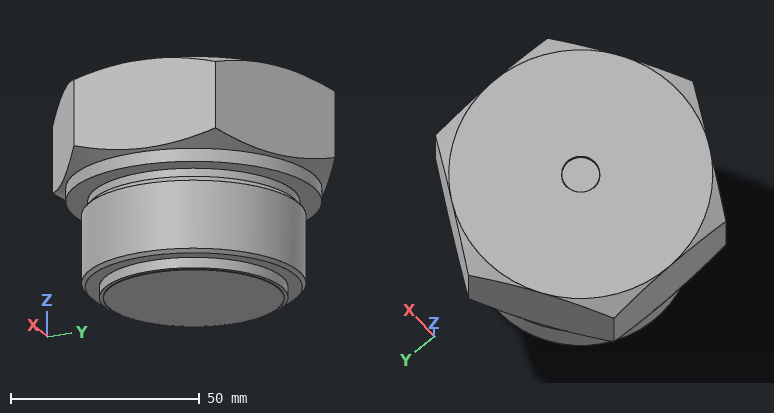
import cadquery as cq
import math

corner_diameter = 80.8
corner_radius = corner_diameter / 2
flat_radius = corner_radius * math.cos(math.radians(30))
cone_slope = math.tan(math.radians(30))

flange_diameter = 68.0
groove_diameter = 56.3
body_diameter = 59.6
tip_diameter = 50.0
tip_end_diameter = 48.0

tip_step_height = 0.25
body_bottom = 3.15
body_top = 24.7
flange_bottom = 27.0
head_bottom = 30.6
total_height = 56.0

body_chamfer = 1.0
top_hole_diameter = 10.1
top_hole_depth = 1.0


def revolve_profile(points):
    """Revolve an outline of (radius, height) points about the Z axis."""
    return cq.Workplane("XZ").polyline(points).close().revolve(360, (0, 0), (0, 1))


def make_head():
    """Hexagonal prism with its corners cut by a cone at each end."""
    prism = (
        cq.Workplane("XY", origin=(0, 0, head_bottom))
        .polygon(6, corner_diameter)
        .extrude(total_height - head_bottom)
        .rotate((0, 0, 0), (0, 0, 1), 90)
    )
    flange_radius = flange_diameter / 2
    outer_radius = corner_radius + 0.8
    lower_rise = (outer_radius - flange_radius) * cone_slope
    upper_drop = (outer_radius - flat_radius) * cone_slope
    envelope = revolve_profile([
        (0, head_bottom),
        (flange_radius, head_bottom),
        (outer_radius, head_bottom + lower_rise),
        (outer_radius, total_height - upper_drop),
        (flat_radius, total_height),
        (0, total_height),
    ])
    return prism.intersect(envelope)


def make_shank():
    """Shank with stepped tip, chamfered body, relief groove and flange."""
    flange_radius = flange_diameter / 2
    groove_radius = groove_diameter / 2
    body_radius = body_diameter / 2
    tip_radius = tip_diameter / 2
    upper_chamfer = body_radius - groove_radius
    return revolve_profile([
        (0, 0),
        (tip_end_diameter / 2, 0),
        (tip_end_diameter / 2, tip_step_height),
        (tip_radius, tip_step_height),
        (tip_radius, body_bottom),
        (body_radius - body_chamfer, body_bottom),
        (body_radius, body_bottom + body_chamfer),
        (body_radius, body_top - upper_chamfer),
        (groove_radius, body_top),
        (groove_radius, flange_bottom),
        (flange_radius, flange_bottom),
        (flange_radius, head_bottom),
        (0, head_bottom),
    ])


top_hole = (
    cq.Workplane("XY", origin=(0, 0, total_height - top_hole_depth))
    .circle(top_hole_diameter / 2)
    .extrude(top_hole_depth)
)

result = make_head().union(make_shank()).cut(top_hole)